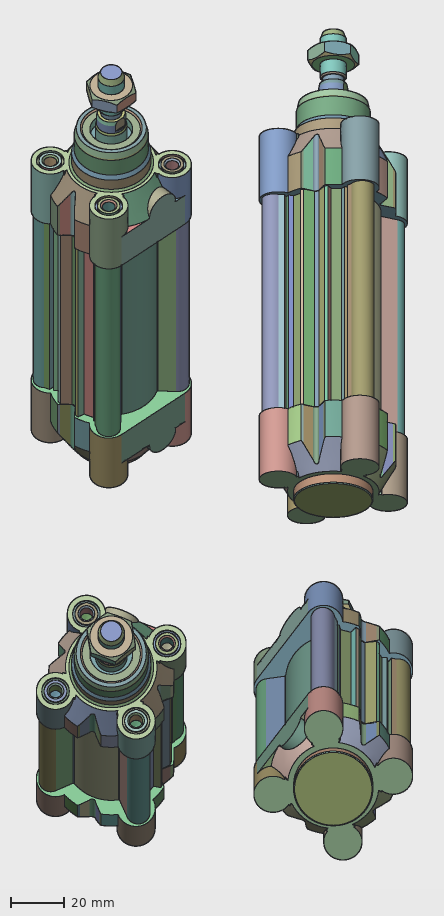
import cadquery as cq
import math


TOTAL_LENGTH = 196.0
CAP_WIDTH = 47.0
CAP_LENGTH = 26.7
REAR_COLLAR_LENGTH = 4.0
TUBE_LENGTH = 90.5
REAR_CAP_TOP = REAR_COLLAR_LENGTH + CAP_LENGTH
TUBE_TOP = REAR_CAP_TOP + TUBE_LENGTH
HALF_WIDTH = CAP_WIDTH / 2

SCREW_PITCH = 32.5
SCREW_OFFSET = SCREW_PITCH / 2
BOSS_RADIUS = HALF_WIDTH - SCREW_OFFSET
WEB_INNER_DISTANCE = 8.5
COUNTERBORE_DIAMETER = 10.4
SCREW_HEAD_DIAMETER = 8.6
HEAD_GROOVE_DEPTH = 1.0
SCREW_BORE_MOUTH_DIAMETER = 6.3
SCREW_BORE_DIAMETER = 4.9
SCREW_BORE_DEPTH = 7.8
DRILL_TIP_DEPTH = 1.4

LOBE_RADIUS = 23.7
LOBE_HEIGHT = 15.3
CONE_TOP_RADIUS = 17.2

NOTCH_FLOOR_DISTANCE = 18.8
NOTCH_FLOOR_HALF_WIDTH = 1.2
NOTCH_FLANK_FOOT_DISTANCE = 19.6
NOTCH_FLANK_DISTANCE = 22.5
NOTCH_FLANK_HALF_WIDTH = 4.0
NOTCH_MOUTH_HALF_WIDTH = 5.0

PORT_Y = 4.7
PORT_HEIGHT = 15.9
PORT_BOSS_RADIUS = 6.7

COLLAR_DIAMETER = 30.0
REAR_COLLAR_CHAMFER = 0.4
FRONT_COLLAR_LENGTH = 5.5
SHOULDER_LENGTH = 1.8
NECK_DIAMETER = 28.0
NECK_LENGTH = 7.8
NECK_EDGE_DIAMETER = 27.6
NECK_EDGE_LENGTH = 0.4
FRONT_FACE_DIAMETER = 26.5
FRONT_TAPER_LENGTH = 3.0
COLLAR_FOOT_DIAMETER = 32.0
COLLAR_FOOT_LENGTH = 0.5

FRONT_RECESS_MOUTH_DIAMETER = 23.3
FRONT_RECESS_DIAMETER = 22.0
FRONT_RECESS_DEPTH = 0.5
ROD_RECESS_DIAMETER = 16.0
ROD_RECESS_DEPTH = 4.0

POST_OFFSET = 17.6
POST_RADIUS = 4.5
BARREL_RADIUS = 18.0
SLOPE_FOOT_X = 9.5
SLOPE_FOOT_DISTANCE = 15.7
POST_EDGE_X = 14.5
POST_EDGE_DISTANCE = POST_OFFSET + math.sqrt(POST_RADIUS**2 - (POST_OFFSET - POST_EDGE_X) ** 2)
V_FLOOR_HALF_WIDTH = 0.88
V_FLOOR_DISTANCE = 19.2
RIB_INNER_X = 4.1
RIB_OUTER_X = 5.5
RIB_DISTANCE = 22.1
LAND_INNER_X = 5.9
LAND_INNER_DISTANCE = 19.5
LAND_OUTER_X = 9.6
LAND_OUTER_DISTANCE = 18.0
RIDGE_X = 11.2
RIDGE_DISTANCE = 19.2
LIP_X = 12.5
LIP_DISTANCE = 20.0

ROD_DIAMETER = 12.0
ROD_BODY_TOP = 167.8
FLATS_SHANK_DIAMETER = 11.2
FLATS_SHANK_BOTTOM = 168.8
SHANK_TAPER_DIAMETER = 10.4
SHANK_TAPER_BOTTOM = 172.7
SHANK_TOP = 174.5
WRENCH_FLATS_WIDTH = 10.0
WRENCH_FLATS_BOTTOM = 169.7
UNDERCUT_DIAMETER = 8.0
THREAD_BOTTOM = 177.0
THREAD_BOTTOM_CHAMFER = 0.5
THREAD_DIAMETER = 10.0
ROD_TIP_DIAMETER = 8.0
ROD_TIP_LENGTH = 2.5

HEX_SIDES = 6
HEX_HALF_ANGLE = 180 / HEX_SIDES
NUT_ACROSS_FLATS = 17.0
NUT_HEIGHT = 6.0
NUT_BOTTOM = 182.9
NUT_FACE_DIAMETER = 16.0
NUT_CHAMFER_ANGLE = 30.0


def cylinder(diameter, bottom, height):
    return cq.Workplane("XY").workplane(offset=bottom).circle(diameter / 2).extrude(height)


def revolved(profile):
    """Turn a closed (radius, z) outline about the Z axis."""
    return cq.Workplane("XZ").polyline(profile).close().revolve(360, (0, 0, 0), (0, 1, 0))


def at_corners(solid, offset):
    """Copies of a solid at the four corners of a square, as one workplane."""
    copies = cq.Workplane("XY")
    for x in (-offset, offset):
        for y in (-offset, offset):
            copies = copies.add(solid.translate((x, y, 0)))
    return copies.combine()


def cap_core():
    """Lobed middle of a cap, coned towards its outer end and trimmed to the cap width."""
    core = revolved([
        (0, 0),
        (LOBE_RADIUS, 0),
        (LOBE_RADIUS, LOBE_HEIGHT),
        (CONE_TOP_RADIUS, CAP_LENGTH),
        (0, CAP_LENGTH),
    ])
    return core.intersect(cq.Workplane("XY").rect(CAP_WIDTH, CAP_WIDTH).extrude(CAP_LENGTH))


def side_notch():
    """Cutter for the round-bottomed V notch in the -Y side."""
    return (
        cq.Workplane("XY")
        .moveTo(-NOTCH_FLOOR_HALF_WIDTH, -NOTCH_FLANK_FOOT_DISTANCE)
        .threePointArc(
            (0, -NOTCH_FLOOR_DISTANCE),
            (NOTCH_FLOOR_HALF_WIDTH, -NOTCH_FLANK_FOOT_DISTANCE),
        )
        .lineTo(NOTCH_FLANK_HALF_WIDTH, -NOTCH_FLANK_DISTANCE)
        .lineTo(NOTCH_MOUTH_HALF_WIDTH, -HALF_WIDTH)
        .lineTo(NOTCH_MOUTH_HALF_WIDTH, -CAP_WIDTH)
        .lineTo(-NOTCH_MOUTH_HALF_WIDTH, -CAP_WIDTH)
        .lineTo(-NOTCH_MOUTH_HALF_WIDTH, -HALF_WIDTH)
        .lineTo(-NOTCH_FLANK_HALF_WIDTH, -NOTCH_FLANK_DISTANCE)
        .close()
        .extrude(CAP_LENGTH)
    )


def port_side():
    """Flat pad and round port boss that end flush on the +X side."""
    pad = cq.Workplane("XY").box(HALF_WIDTH, SCREW_PITCH, LOBE_HEIGHT, centered=(False, True, False))
    boss = (
        cq.Workplane("YZ")
        .center(PORT_Y, PORT_HEIGHT)
        .circle(PORT_BOSS_RADIUS)
        .extrude(HALF_WIDTH)
    )
    return pad.union(boss)


def cap_block():
    """Cap common to both ends, its tube joint on z = 0 and its outer end facing up."""
    block = cap_core()
    for angle in (0, -90, 180):
        block = block.cut(side_notch().rotate((0, 0, 0), (0, 0, 1), angle))
    block = block.union(port_side())
    web_width = SCREW_OFFSET - WEB_INNER_DISTANCE
    web_offset = (SCREW_OFFSET + WEB_INNER_DISTANCE) / 2
    webs = (
        cq.Workplane("XY")
        .rect(2 * web_offset, 2 * web_offset, forConstruction=True)
        .vertices()
        .rect(web_width, web_width)
        .extrude(CAP_LENGTH)
    )
    bosses = at_corners(cylinder(2 * BOSS_RADIUS, 0, CAP_LENGTH), SCREW_OFFSET)
    return block.union(webs).union(bosses)


def screw_cuts():
    """Groove round each screw head and the bore in it, below z = 0."""
    groove = cylinder(COUNTERBORE_DIAMETER, -HEAD_GROOVE_DEPTH, HEAD_GROOVE_DEPTH).cut(
        cylinder(SCREW_HEAD_DIAMETER, -HEAD_GROOVE_DEPTH, HEAD_GROOVE_DEPTH)
    )
    mouth_radius = SCREW_BORE_MOUTH_DIAMETER / 2
    bore_radius = SCREW_BORE_DIAMETER / 2
    bore = revolved([
        (0, 0),
        (mouth_radius, 0),
        (bore_radius, bore_radius - mouth_radius),
        (bore_radius, -SCREW_BORE_DEPTH),
        (0, -SCREW_BORE_DEPTH - DRILL_TIP_DEPTH),
    ])
    return at_corners(groove.union(bore), SCREW_OFFSET)


def make_rear_cap():
    cap = cap_block().mirror("XY").translate((0, 0, REAR_CAP_TOP))
    collar = cylinder(COLLAR_DIAMETER, 0, REAR_COLLAR_LENGTH)
    return cap.union(collar.faces("<Z").chamfer(REAR_COLLAR_CHAMFER))


def front_collar():
    """Stepped collar and neck with a flared foot, standing on z = 0."""
    shoulder = FRONT_COLLAR_LENGTH + SHOULDER_LENGTH
    neck_top = shoulder + NECK_LENGTH
    taper_bottom = neck_top + NECK_EDGE_LENGTH
    face = taper_bottom + FRONT_TAPER_LENGTH
    recess_floor = face - FRONT_RECESS_DEPTH
    collar = revolved([
        (0, 0),
        (COLLAR_FOOT_DIAMETER / 2, 0),
        (COLLAR_DIAMETER / 2, COLLAR_FOOT_LENGTH),
        (COLLAR_DIAMETER / 2, FRONT_COLLAR_LENGTH),
        (NECK_DIAMETER / 2, shoulder),
        (NECK_DIAMETER / 2, neck_top),
        (NECK_EDGE_DIAMETER / 2, taper_bottom),
        (FRONT_FACE_DIAMETER / 2, face),
        (FRONT_RECESS_MOUTH_DIAMETER / 2, face),
        (FRONT_RECESS_DIAMETER / 2, recess_floor),
        (0, recess_floor),
    ])
    return collar.cut(cylinder(ROD_RECESS_DIAMETER, recess_floor - ROD_RECESS_DEPTH, ROD_RECESS_DEPTH))


def make_front_cap():
    cap = cap_block().union(front_collar().translate((0, 0, CAP_LENGTH)))
    cap = cap.cut(screw_cuts().translate((0, 0, CAP_LENGTH)))
    cap = cap.translate((0, 0, TUBE_TOP))
    return cap.cut(cylinder(ROD_DIAMETER, TUBE_TOP, TOTAL_LENGTH - TUBE_TOP))


def side_cutter(half_outline):
    """Cutter that leaves the -Y side of the tube with a symmetrical outline."""
    half = half_outline + [
        (POST_EDGE_X, -POST_EDGE_DISTANCE),
        (POST_OFFSET, -POST_EDGE_DISTANCE),
        (POST_OFFSET, -CAP_WIDTH),
    ]
    mirrored = [(-x, y) for x, y in reversed(half)]
    return cq.Workplane("XY").polyline(half + mirrored).close().extrude(TUBE_LENGTH)


def slotted_side():
    """Cutter for a side with a middle V between two ribs, sloped lands and small outer ridges."""
    return side_cutter([
        (V_FLOOR_HALF_WIDTH, -V_FLOOR_DISTANCE),
        (RIB_INNER_X, -RIB_DISTANCE),
        (RIB_OUTER_X, -RIB_DISTANCE),
        (LAND_INNER_X, -LAND_INNER_DISTANCE),
        (LAND_OUTER_X, -LAND_OUTER_DISTANCE),
        (RIDGE_X, -RIDGE_DISTANCE),
        (LIP_X, -LAND_OUTER_DISTANCE),
        (LIP_X, -LIP_DISTANCE),
    ])


def barrel_side():
    """Cutter, facing -Y, for a side with a round barrel between two sloped walls."""
    cutter = side_cutter([(SLOPE_FOOT_X, -SLOPE_FOOT_DISTANCE)])
    return cutter.cut(cylinder(2 * BARREL_RADIUS, 0, TUBE_LENGTH))


def make_tube():
    """Square profile with round corner posts, slotted on Y and barrelled on X."""
    arm_length = 2 * (POST_OFFSET + POST_RADIUS)
    arm_width = 2 * POST_OFFSET
    tube = cq.Workplane("XY").rect(arm_length, arm_width).extrude(TUBE_LENGTH)
    tube = tube.union(cq.Workplane("XY").rect(arm_width, arm_length).extrude(TUBE_LENGTH))
    for angle in (0, 180):
        tube = tube.cut(slotted_side().rotate((0, 0, 0), (0, 0, 1), angle))
        tube = tube.cut(barrel_side().rotate((0, 0, 0), (0, 0, 1), angle - 90))
    tube = tube.union(at_corners(cylinder(2 * POST_RADIUS, 0, TUBE_LENGTH), POST_OFFSET))
    return tube.translate((0, 0, REAR_CAP_TOP))


def make_rod():
    rod = revolved([
        (0, TUBE_TOP),
        (ROD_DIAMETER / 2, TUBE_TOP),
        (ROD_DIAMETER / 2, ROD_BODY_TOP),
        (FLATS_SHANK_DIAMETER / 2, FLATS_SHANK_BOTTOM),
        (FLATS_SHANK_DIAMETER / 2, SHANK_TAPER_BOTTOM),
        (SHANK_TAPER_DIAMETER / 2, SHANK_TOP),
        (UNDERCUT_DIAMETER / 2, SHANK_TOP),
        (UNDERCUT_DIAMETER / 2, THREAD_BOTTOM),
        (THREAD_DIAMETER / 2 - THREAD_BOTTOM_CHAMFER, THREAD_BOTTOM),
        (THREAD_DIAMETER / 2, THREAD_BOTTOM + THREAD_BOTTOM_CHAMFER),
        (THREAD_DIAMETER / 2, TOTAL_LENGTH - ROD_TIP_LENGTH),
        (ROD_TIP_DIAMETER / 2, TOTAL_LENGTH),
        (0, TOTAL_LENGTH),
    ])
    flats_height = SHANK_TOP - WRENCH_FLATS_BOTTOM
    waste = (
        cylinder(ROD_DIAMETER, WRENCH_FLATS_BOTTOM, flats_height)
        .cut(
            cq.Workplane("XY")
            .workplane(offset=WRENCH_FLATS_BOTTOM)
            .rect(WRENCH_FLATS_WIDTH, CAP_WIDTH)
            .extrude(flats_height)
        )
    )
    return rod.cut(waste)


def make_nut():
    """Hexagon with flats facing +X and -X, its corners bevelled at both ends."""
    corner_diameter = NUT_ACROSS_FLATS / math.cos(math.radians(HEX_HALF_ANGLE))
    hexagon = (
        cq.Workplane("XY")
        .polygon(HEX_SIDES, corner_diameter)
        .extrude(NUT_HEIGHT)
        .rotate((0, 0, 0), (0, 0, 1), HEX_HALF_ANGLE)
    )
    face_radius = NUT_FACE_DIAMETER / 2
    rim_radius = corner_diameter / 2
    bevel = (rim_radius - face_radius) * math.tan(math.radians(NUT_CHAMFER_ANGLE))
    envelope = revolved([
        (0, 0),
        (face_radius, 0),
        (rim_radius, bevel),
        (rim_radius, NUT_HEIGHT - bevel),
        (face_radius, NUT_HEIGHT),
        (0, NUT_HEIGHT),
    ])
    nut = hexagon.intersect(envelope).cut(cylinder(THREAD_DIAMETER, 0, NUT_HEIGHT))
    return nut.translate((0, 0, NUT_BOTTOM))


rear_cap = make_rear_cap()
tube = make_tube()
front_cap = make_front_cap()
rod = make_rod()
nut = make_nut()

result = cq.Compound.makeCompound([
    rear_cap.val(),
    tube.val(),
    front_cap.val(),
    rod.val(),
    nut.val(),
])